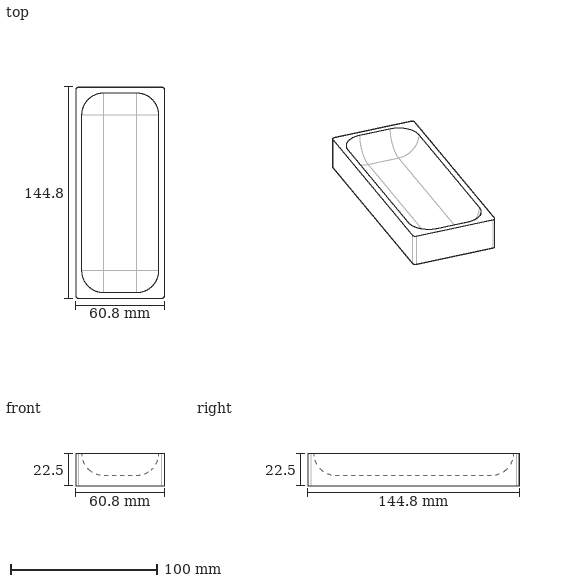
import cadquery as cq

width = 60.8
length = 144.8
height = 22.5
corner_radius = 2.0

wall = 4.0
cavity_radius = 15.0
floor_width = width - 2 * (wall + cavity_radius)
floor_length = length - 2 * (wall + cavity_radius)


def make_block():
    """Solid block standing on Z = 0 with rounded vertical edges."""
    block = cq.Workplane("XY").box(width, length, height, centered=(True, True, False))
    return block.edges("|Z").fillet(corner_radius)


def make_cavity():
    """Rounded volume swept by a ball moving over the floor rectangle at rim height."""
    cavity = cq.Workplane("XY").box(floor_width, floor_length, 2 * cavity_radius)
    for side in (-1, 1):
        side_x = side * floor_width / 2
        end_y = side * floor_length / 2
        long_wall = cq.Workplane("XZ", origin=(side_x, 0, 0)).circle(cavity_radius)
        end_wall = cq.Workplane("YZ", origin=(0, end_y, 0)).circle(cavity_radius)
        cavity = cavity.union(long_wall.extrude(floor_length / 2, both=True))
        cavity = cavity.union(end_wall.extrude(floor_width / 2, both=True))
    corners = cq.Workplane("XY").rect(floor_width, floor_length, forConstruction=True).vertices()
    for corner in corners.vals():
        ball = cq.Workplane("XY").sphere(cavity_radius).translate(corner.toTuple())
        cavity = cavity.union(ball)
    return cavity.translate((0, 0, height))


result = make_block().cut(make_cavity())